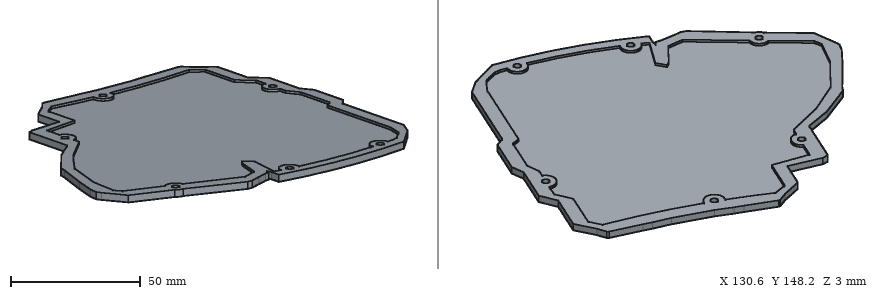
import cadquery as cq


WIDTH = 130.6
LENGTH = 148.2
THICKNESS = 3.0
RECESS_DEPTH = 1.0
RIM = 6.0
SIDE_RIM = 4.5
LEFT_RIM = 5.5
BOSS_DIAMETER = 8.5
HOLE_DIAMETER = 3.0

SHOULDER_Y = LENGTH - 3.1
STEP_Y = SHOULDER_Y - RIM

LEFT_MIDDLE_Y = 93.4
LEFT_TOP_Y = 127.9
LEFT_INNER_BOW = 2.1
LEFT_CORNER_X = 9.8
INNER_CORNER_X = 9.3
INNER_LEFT_TOP_Y = 128.7

RIGHT_TOP_Y = 131.3
RIGHT_BOTTOM_Y = 67.5
RIGHT_MIDDLE_Y = (RIGHT_TOP_Y + RIGHT_BOTTOM_Y) / 2
RIGHT_BOW = 2.4
RIGHT_END_X = WIDTH - RIGHT_BOW
INNER_RIGHT_END_X = RIGHT_END_X - SIDE_RIM
INNER_RIGHT_TOP_Y = 129.5
INNER_RIGHT_BOTTOM_Y = 68.8

LEDGE_Y = 2 * LEFT_MIDDLE_Y - STEP_Y
FOOT_Y = 30.2

SCREW_POINTS = [
    (42.2, STEP_Y),
    (124.5, 122.5),
    (124.5, 76.2),
    (113.2, 27.7),
    (38.8, 36.0),
    (8.0, 82.3),
]


def mirrored_about_left_middle(points):
    """The same points reflected across the middle of the left edge, in reverse order."""
    return [(x, 2 * LEFT_MIDDLE_Y - y) for x, y in reversed(points)]


def outer_outline():
    """Closed outer edge, clockwise from the middle of the left edge."""
    upper_left_edge = [
        (1.5, 102.1),
        (0.9, 110.0),
        (0.7, 114.0),
        (0, LEFT_TOP_Y),
        (0.3, 128.8),
        (3.5, 131.8),
        (LEFT_CORNER_X, STEP_Y),
    ]
    top_edge = [
        (27.5, STEP_Y),
        (33.3, SHOULDER_Y),
        (51.1, SHOULDER_Y),
        (56.2, LENGTH),
        (73.2, LENGTH),
        (76.3, SHOULDER_Y),
        (112.4, SHOULDER_Y),
        (118.6, 141.5),
        (RIGHT_END_X, RIGHT_TOP_Y),
    ]
    notch = [
        (INNER_RIGHT_END_X, RIGHT_BOTTOM_Y),
        (121.5, 67.0),
        (123.3, 66.5),
        (123.8, 64.3),
    ]
    lower_right_edge = [
        (125.2, 59.7),
        (127.0, 54.8),
        (127.0, 52.6),
        (116.5, 25.5),
        (109.7, 6.7),
        (100.3, 0.9),
        (98.5, 0),
    ]
    lower_left_edge = [
        (94.5, 0.5),
        (84.5, 3.5),
        (69.5, 8.9),
        (66.8, 9.5),
        (54.5, 20.3),
        (46.8, FOOT_Y),
        (24.6, FOOT_Y),
        (23.4, 32.8),
        (22.2, LEDGE_Y),
    ]
    return (
        cq.Workplane("XY")
        .polyline(upper_left_edge + top_edge)
        .threePointArc((WIDTH, RIGHT_MIDDLE_Y), (RIGHT_END_X, RIGHT_BOTTOM_Y))
        .polyline(notch + lower_right_edge + lower_left_edge, includeCurrent=True)
        .polyline(mirrored_about_left_middle(upper_left_edge), includeCurrent=True)
        .close()
    )


def recess_outline():
    """Closed inner edge of the rim on the tray floor, clockwise from its upper left corner."""
    top_edge = [
        (INNER_CORNER_X, STEP_Y - RIM),
        (26.8, STEP_Y - RIM),
        (32.3, SHOULDER_Y - RIM),
        (50.0, SHOULDER_Y - RIM),
        (55.1, LENGTH - RIM),
        (72.2, LENGTH - RIM),
        (74.3, SHOULDER_Y - RIM),
        (111.2, SHOULDER_Y - RIM),
        (118.3, 137.3),
        (122.9, 132.2),
        (INNER_RIGHT_END_X, INNER_RIGHT_TOP_Y),
    ]
    tongue = [
        (109.1, 71.5),
        (106.1, 67.6),
        (108.6, 66.1),
        (119.0, 62.8),
    ]
    lower_right_edge = [
        (121.5, 56.0),
        (111.6, 29.2),
        (104.2, 8.5),
        (101.2, 6.4),
    ]
    lower_left_edge = [
        (88.3, 7.4),
        (70.7, 13.2),
        (57.8, 23.5),
        (46.2, 36.8),
        (27.3, 36.8),
        (24.9, LEDGE_Y + LEFT_RIM),
        (INNER_CORNER_X, LEDGE_Y + LEFT_RIM),
        (LEFT_RIM, 2 * LEFT_MIDDLE_Y - INNER_LEFT_TOP_Y),
    ]
    return (
        cq.Workplane("XY", origin=(0, 0, THICKNESS - RECESS_DEPTH))
        .polyline([(LEFT_RIM, INNER_LEFT_TOP_Y)] + top_edge)
        .threePointArc((WIDTH - SIDE_RIM, RIGHT_MIDDLE_Y), (INNER_RIGHT_END_X, INNER_RIGHT_BOTTOM_Y))
        .polyline(tongue + lower_right_edge + lower_left_edge, includeCurrent=True)
        .threePointArc((LEFT_RIM + LEFT_INNER_BOW, LEFT_MIDDLE_Y), (LEFT_RIM, INNER_LEFT_TOP_Y))
        .close()
    )


def screw_cylinders(diameter):
    """Full-height cylinders at every screw point."""
    return (
        cq.Workplane("XY")
        .pushPoints(SCREW_POINTS)
        .circle(diameter / 2)
        .extrude(THICKNESS)
    )


plate = outer_outline().extrude(THICKNESS)
tray = plate.cut(recess_outline().extrude(RECESS_DEPTH))
tray_with_bosses = tray.union(screw_cylinders(BOSS_DIAMETER))
result = tray_with_bosses.cut(screw_cylinders(HOLE_DIAMETER))